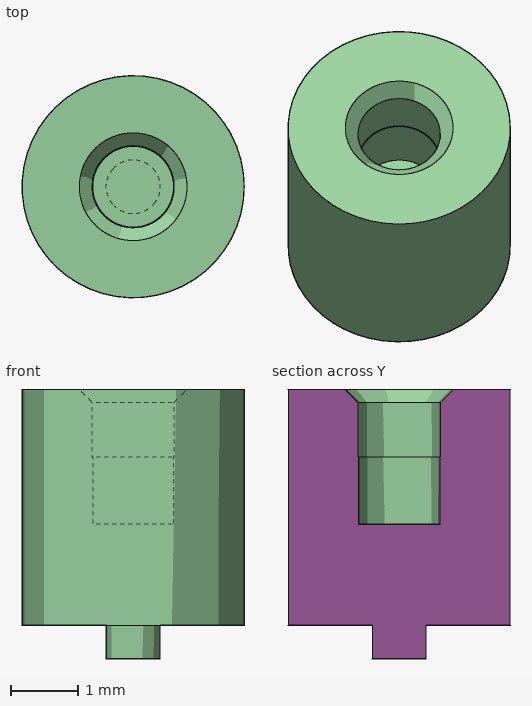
import cadquery as cq

total_height = 4.0
body_diameter = 3.3
pin_diameter = 0.8
pin_length = 0.5
body_height = total_height - pin_length

countersink_diameter = 1.6
bore_diameter = 1.22
lower_bore_diameter = 1.2
countersink_depth = (countersink_diameter - bore_diameter) / 2
bore_depth = 1.0
hole_depth = 2.0


def make_body():
    """Cylindrical body standing on a thin pin, with the pin's end at Z = 0."""
    pin = cq.Workplane("XY").circle(pin_diameter / 2).extrude(pin_length)
    return pin.faces(">Z").workplane().circle(body_diameter / 2).extrude(body_height)


def make_hole():
    """Stepped blind hole as a solid of revolution about Z."""
    countersink_bottom = total_height - countersink_depth
    step_height = total_height - bore_depth
    floor_height = total_height - hole_depth
    return (
        cq.Workplane("XZ")
        .moveTo(0, total_height)
        .lineTo(countersink_diameter / 2, total_height)
        .lineTo(bore_diameter / 2, countersink_bottom)
        .lineTo(bore_diameter / 2, step_height)
        .lineTo(lower_bore_diameter / 2, step_height)
        .lineTo(lower_bore_diameter / 2, floor_height)
        .lineTo(0, floor_height)
        .close()
        .revolve(360, (0, 0, 0), (0, 1, 0))
    )


result = make_body().cut(make_hole())